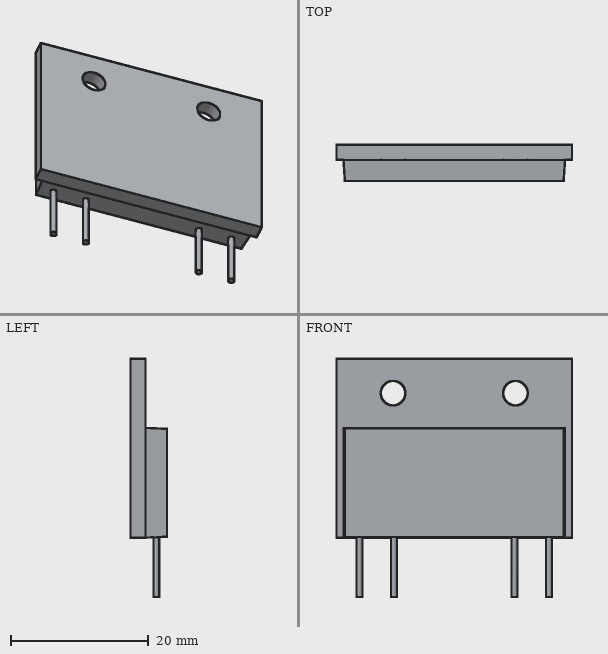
import cadquery as cq

PLATE_WIDTH = 34.2
PLATE_HEIGHT = 26.0
PLATE_THICKNESS = 2.2
HOLE_DIAMETER = 3.53
HOLE_SPACING = 17.75
HOLE_TOP_MARGIN = 5.0

TOTAL_DEPTH = 5.33
CASE_DEPTH = TOTAL_DEPTH - PLATE_THICKNESS
CASE_WIDTH = 32.18
CASE_HEIGHT = 15.95
SIDE_TAPER = 0.2
END_TAPER = 0.15

TOTAL_HEIGHT = 34.6
PIN_LENGTH = TOTAL_HEIGHT - PLATE_HEIGHT
PIN_DIAMETER = 0.9
OUTER_PIN_SPACING = 27.5
INNER_PIN_SPACING = 17.47
PIN_Y = -(PLATE_THICKNESS + CASE_DEPTH / 2)


def make_plate():
    """Flat plate with two mounting holes through its thickness."""
    hole_z = PLATE_HEIGHT - HOLE_TOP_MARGIN
    plate = (
        cq.Workplane("XZ")
        .rect(PLATE_WIDTH, PLATE_HEIGHT)
        .extrude(PLATE_THICKNESS)
        .translate((0, 0, PLATE_HEIGHT / 2))
    )
    holes = (
        cq.Workplane("XZ")
        .pushPoints([(-HOLE_SPACING / 2, hole_z), (HOLE_SPACING / 2, hole_z)])
        .circle(HOLE_DIAMETER / 2)
        .extrude(PLATE_THICKNESS)
    )
    return plate.cut(holes)


def make_case():
    """Block on the plate's front face with all four sides tapered."""
    return (
        cq.Workplane("XZ", origin=(0, -PLATE_THICKNESS, CASE_HEIGHT / 2))
        .rect(CASE_WIDTH, CASE_HEIGHT)
        .workplane(offset=CASE_DEPTH)
        .rect(CASE_WIDTH - 2 * SIDE_TAPER, CASE_HEIGHT - 2 * END_TAPER)
        .loft(ruled=True)
    )


def make_pin(x, case):
    """Round pin whose upper end is trimmed to the case's sloping underside."""
    pin = (
        cq.Workplane("XY", origin=(x, PIN_Y, -PIN_LENGTH))
        .circle(PIN_DIAMETER / 2)
        .extrude(PIN_LENGTH + END_TAPER)
    )
    return pin.cut(case).solids().val()


plate = make_plate()
case = make_case()
pins = []
for spacing in (OUTER_PIN_SPACING, INNER_PIN_SPACING):
    for side in (-1, 1):
        pins.append(make_pin(side * spacing / 2, case))

result = cq.Compound.makeCompound([plate.val(), case.val(), *pins])